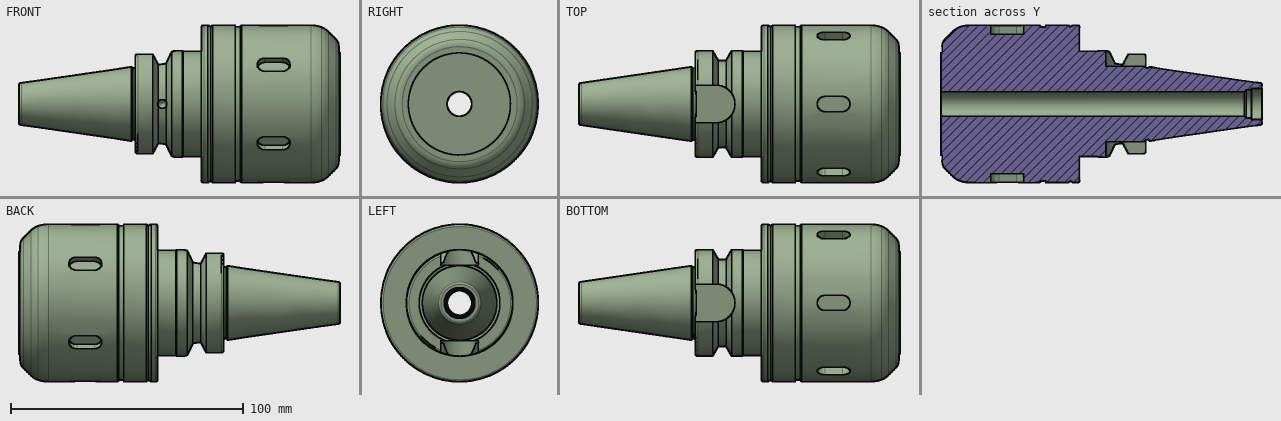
import cadquery as cq
import math


length = 138.4

shank_end_round = 1.0
taper_end_x = 48.5
taper_end_radius = 16.0
taper_slope = 7 / 48
neck_diameter = 30.9
neck_radius = neck_diameter / 2
undercut_radius = 1.1
undercut_center_x = 49.4

flange_x = 50.1
flange_diameter = 46.0
flange_radius = flange_diameter / 2
flange_round = 1.1
groove_x = 61.7
groove_radius = 18.8
groove_floor_half = 1.7
groove_wall_angle = 30.0
groove_depth = flange_radius - groove_radius
groove_mouth_half = groove_floor_half + groove_depth * math.tan(math.radians(groove_wall_angle))
flange_end_x = 70.7
flange_end_chamfer = 0.4
collar_diameter = 45.5
collar_radius = collar_diameter / 2

keyway_count = 2
keyway_width = 16.2
keyway_floor = 16.3
keyway_end_x = 67.3

dimple_diameter = 4.0
dimple_cone_angle = 90.0

nut_x = 78.6
nut_diameter = 68.0
nut_radius = nut_diameter / 2
nut_round = 1.0
notch_x = 81.4
notch_width = 2.1
notch_depth = 0.7
band_x = 93.3
band_width = 2.1
band_depth = 0.7
band_chamfer = 0.5

nose_x = 125.8
shoulder_arc_radius = 13.0
shoulder_arc_angle = 20.0
corner_arc_radius = 8.0
cone_angle = 45.0
cone_end_x = 136.6
nose_round_radius = 4.4
nose_face_angle = 90.0
nose_face_radius = 22.0

slot_count = 6
slot_x = 109.8
slot_length = 14.1
slot_width = 6.5
slot_depth = 3.9

bore_radius = 5.3
counterbore_radius = 6.6
counterbore_depth = 4.5
step_radius = 6.2
thread_diameter = 12.0
thread_radius = thread_diameter / 2
thread_end_x = 6.9


def arc_shift(radius, start_angle, end_angle):
    """Run along X and drop in radius of an arc whose slope goes between two angles in degrees."""
    start = math.radians(start_angle)
    end = math.radians(end_angle)
    run = radius * (math.sin(end) - math.sin(start))
    drop = radius * (math.cos(start) - math.cos(end))
    return run, drop


def add_outer_arc(profile, x, y, radius, start_angle, end_angle):
    """Add a convex arc that falls away towards +X; return the profile and the end of the arc."""
    run, drop = arc_shift(radius, start_angle, end_angle)
    mid_run, mid_drop = arc_shift(radius, start_angle, (start_angle + end_angle) / 2)
    end = (x + run, y - drop)
    return profile.threePointArc((x + mid_run, y - mid_drop), end), end


def shank_and_flange():
    taper_start_radius = taper_end_radius - taper_slope * (taper_end_x - shank_end_round)
    undercut_center_y = neck_radius + undercut_radius
    undercut_rise = math.sqrt(undercut_radius**2 - (flange_x - undercut_center_x) ** 2)
    profile = (
        cq.Workplane("XY")
        .lineTo(0, taper_start_radius - shank_end_round)
        .radiusArc((shank_end_round, taper_start_radius), shank_end_round)
        .lineTo(taper_end_x, taper_end_radius)
        .lineTo(taper_end_x + taper_end_radius - neck_radius, neck_radius)
        .lineTo(undercut_center_x, neck_radius)
        .threePointArc(
            (undercut_center_x + undercut_radius, undercut_center_y),
            (flange_x, undercut_center_y + undercut_rise),
        )
        .lineTo(flange_x, flange_radius - flange_round)
        .radiusArc((flange_x + flange_round, flange_radius), flange_round)
        .lineTo(groove_x - groove_mouth_half, flange_radius)
        .lineTo(groove_x - groove_floor_half, groove_radius)
        .lineTo(groove_x + groove_floor_half, groove_radius)
        .lineTo(groove_x + groove_mouth_half, flange_radius)
        .lineTo(flange_end_x - flange_end_chamfer, flange_radius)
        .lineTo(flange_end_x, collar_radius)
        .lineTo(nut_x + nut_round, collar_radius)
        .lineTo(nut_x + nut_round, 0)
        .close()
    )
    return profile.revolve(360, (0, 0, 0), (1, 0, 0))


def nut():
    band_end_x = band_x + band_width
    profile = (
        cq.Workplane("XY")
        .moveTo(nut_x, 0)
        .lineTo(nut_x, nut_radius - nut_round)
        .radiusArc((nut_x + nut_round, nut_radius), nut_round)
        .lineTo(notch_x, nut_radius)
        .lineTo(notch_x + notch_width - notch_depth, nut_radius - notch_depth)
        .lineTo(notch_x + notch_width, nut_radius)
        .lineTo(band_x, nut_radius)
        .lineTo(band_x, nut_radius - band_depth)
        .lineTo(band_end_x, nut_radius - band_depth)
        .lineTo(band_end_x, nut_radius - band_chamfer)
        .lineTo(band_end_x + band_chamfer, nut_radius)
        .lineTo(nose_x, nut_radius)
    )
    profile, (x, y) = add_outer_arc(profile, nose_x, nut_radius, shoulder_arc_radius, 0, shoulder_arc_angle)
    profile, (x, y) = add_outer_arc(profile, x, y, corner_arc_radius, shoulder_arc_angle, cone_angle)
    cone_end_radius = y - (cone_end_x - x) * math.tan(math.radians(cone_angle))
    profile = profile.lineTo(cone_end_x, cone_end_radius)
    profile, (x, y) = add_outer_arc(
        profile, cone_end_x, cone_end_radius, nose_round_radius, cone_angle, nose_face_angle
    )
    profile = (
        profile
        .lineTo(x, nose_face_radius)
        .lineTo(length, nose_face_radius)
        .lineTo(length, 0)
        .close()
    )
    return profile.revolve(360, (0, 0, 0), (1, 0, 0))


def bore():
    profile = (
        cq.Workplane("XY")
        .lineTo(0, counterbore_radius)
        .lineTo(counterbore_depth, counterbore_radius)
        .lineTo(counterbore_depth, step_radius)
        .lineTo(counterbore_depth + step_radius - thread_radius, thread_radius)
        .lineTo(thread_end_x, thread_radius)
        .lineTo(thread_end_x + thread_radius - bore_radius, bore_radius)
        .lineTo(length, bore_radius)
        .lineTo(length, 0)
        .close()
    )
    return profile.revolve(360, (0, 0, 0), (1, 0, 0))


def keyway():
    """Cutter for the +Z keyway: open at the flange face, full round at the far end."""
    round_x = keyway_end_x - keyway_width / 2
    height = flange_radius - keyway_floor
    straight = cq.Workplane("XY", origin=(0, 0, keyway_floor)).moveTo(taper_end_x, -keyway_width / 2)
    straight = straight.rect(round_x - taper_end_x, keyway_width, centered=False).extrude(height)
    round_end = cq.Workplane("XY", origin=(round_x, 0, keyway_floor)).circle(keyway_width / 2).extrude(height)
    return straight.union(round_end)


def dimple():
    """Cone cutter whose rim lies on the groove floor."""
    radius = dimple_diameter / 2
    depth = radius / math.tan(math.radians(dimple_cone_angle / 2))
    cone = cq.Solid.makeCone(
        radius, 0, depth, cq.Vector(groove_x, -groove_radius, 0), cq.Vector(0, 1, 0)
    )
    return cq.Workplane(cone)


def spanner_slot(angle):
    """Cutter for one flat-bottomed slot, turned about the X axis."""
    floor = nut_radius - slot_depth
    outline = cq.Workplane("XY", origin=(slot_x, 0, floor)).slot2D(slot_length, slot_width)
    cutter = outline.extrude(2 * slot_depth)
    return cutter.rotate((0, 0, 0), (1, 0, 0), angle)


body = shank_and_flange().union(nut()).cut(bore())
for index in range(keyway_count):
    body = body.cut(keyway().rotate((0, 0, 0), (1, 0, 0), 360 / keyway_count * index))
body = body.cut(dimple())
for index in range(slot_count):
    body = body.cut(spanner_slot(360 / slot_count * index))

result = body